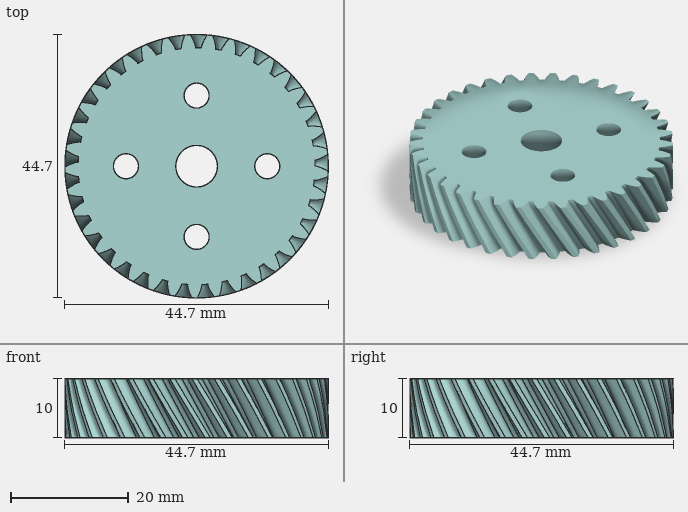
import cadquery as cq
import math

TOOTH_COUNT = 37
OUTER_DIAMETER = 44.7
FACE_WIDTH = 10.0
HELIX_ANGLE = math.radians(30)
NORMAL_PRESSURE_ANGLE = math.radians(20)
DEDENDUM_IN_MODULES = 1.25
BORE_DIAMETER = 7.0
WEB_HOLE_COUNT = 4
WEB_HOLE_DIAMETER = 4.2
WEB_HOLE_CIRCLE_RADIUS = 12.0
FLANK_POINT_COUNT = 5

normal_module = OUTER_DIAMETER / (TOOTH_COUNT / math.cos(HELIX_ANGLE) + 2)
tip_radius = OUTER_DIAMETER / 2
pitch_radius = tip_radius - normal_module
root_radius = pitch_radius - DEDENDUM_IN_MODULES * normal_module
transverse_pressure_angle = math.atan(math.tan(NORMAL_PRESSURE_ANGLE) / math.cos(HELIX_ANGLE))
base_radius = pitch_radius * math.cos(transverse_pressure_angle)
tooth_pitch_angle = 2 * math.pi / TOOTH_COUNT
first_tooth_angle = tooth_pitch_angle / 4
twist_angle = FACE_WIDTH * math.tan(HELIX_ANGLE) / pitch_radius


def polar(radius, angle):
    return (radius * math.cos(angle), radius * math.sin(angle))


def involute(pressure_angle):
    return math.tan(pressure_angle) - pressure_angle


def half_tooth_angle(radius):
    """Angle from the tooth centreline to its involute flank at a radius."""
    pressure_angle = math.acos(base_radius / radius)
    half_angle_at_pitch = tooth_pitch_angle / 4
    return half_angle_at_pitch + involute(transverse_pressure_angle) - involute(pressure_angle)


def flank_points(tooth_angle, side):
    """Points from root to tip; side is -1 for the clockwise flank and +1 for the other."""
    radius_step = (tip_radius - root_radius) / (FLANK_POINT_COUNT - 1)
    radii = [root_radius + i * radius_step for i in range(FLANK_POINT_COUNT)]
    return [polar(radius, tooth_angle + side * half_tooth_angle(radius)) for radius in radii]


def gear_profile():
    """Closed outline of all the teeth at the lower face, running counterclockwise."""
    profile = cq.Workplane("XY").moveTo(*flank_points(first_tooth_angle, -1)[0])
    for tooth in range(TOOTH_COUNT):
        tooth_angle = first_tooth_angle + tooth * tooth_pitch_angle
        next_tooth_angle = tooth_angle + tooth_pitch_angle
        rising_flank = flank_points(tooth_angle, -1)
        falling_flank = flank_points(tooth_angle, 1)[::-1]
        next_tooth_start = flank_points(next_tooth_angle, -1)[0]
        gap_middle = polar(root_radius, tooth_angle + tooth_pitch_angle / 2)
        profile = profile.spline(rising_flank[1:], includeCurrent=True)
        profile = profile.threePointArc(polar(tip_radius, tooth_angle), falling_flank[0])
        profile = profile.spline(falling_flank[1:], includeCurrent=True)
        profile = profile.threePointArc(gap_middle, next_tooth_start)
    return profile.close()


blank = gear_profile().twistExtrude(FACE_WIDTH, -math.degrees(twist_angle))

bore = cq.Workplane("XY").circle(BORE_DIAMETER / 2).extrude(FACE_WIDTH)
web_holes = (
    cq.Workplane("XY")
    .polarArray(WEB_HOLE_CIRCLE_RADIUS, 0, 360, WEB_HOLE_COUNT)
    .circle(WEB_HOLE_DIAMETER / 2)
    .extrude(FACE_WIDTH)
)

result = blank.cut(bore).cut(web_holes)